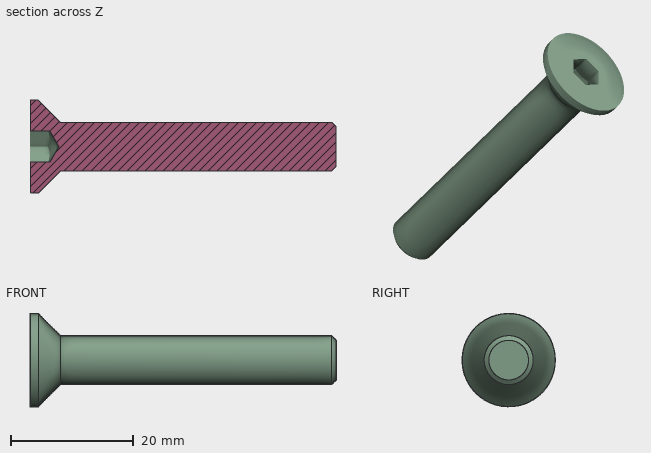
import cadquery as cq
import math

FULL_TURN = 360.0
AXIS_START = (0, 0, 0)
AXIS_END = (1, 0, 0)

total_length = 50.0
shank_diameter = 8.0
head_diameter = 15.24
rim_thickness = 1.34
tip_chamfer = 0.767

socket_across_flats = 5.0
socket_depth = 3.0
socket_cone_angle = 120.0

shank_radius = shank_diameter / 2
head_radius = head_diameter / 2
head_height = rim_thickness + (head_radius - shank_radius)
socket_turn = 30.0
socket_across_corners = socket_across_flats / math.cos(math.pi / 6)
socket_corner_radius = socket_across_corners / 2


def screw_body():
    """Head, countersink, shank and chamfered tip, revolved about X."""
    half_profile = [
        (0, 0),
        (0, head_radius),
        (rim_thickness, head_radius),
        (head_height, shank_radius),
        (total_length - tip_chamfer, shank_radius),
        (total_length, shank_radius - tip_chamfer),
        (total_length, 0),
    ]
    return cq.Workplane("XY").polyline(half_profile).close().revolve(FULL_TURN, AXIS_START, AXIS_END)


def hex_socket():
    """Hexagonal recess whose bottom is a cone through the hexagon corners."""
    cone_depth = socket_corner_radius / math.tan(math.radians(socket_cone_angle / 2))
    full_depth = socket_depth + cone_depth
    half_profile = [
        (0, 0),
        (0, socket_corner_radius),
        (socket_depth, socket_corner_radius),
        (full_depth, 0),
    ]
    hexagon = (
        cq.Workplane("YZ")
        .polygon(6, socket_across_corners)
        .extrude(full_depth)
        .rotate(AXIS_START, AXIS_END, socket_turn)
    )
    pointed_bore = (
        cq.Workplane("XY")
        .polyline(half_profile)
        .close()
        .revolve(FULL_TURN, AXIS_START, AXIS_END)
    )
    return hexagon.intersect(pointed_bore)


result = screw_body().cut(hex_socket())